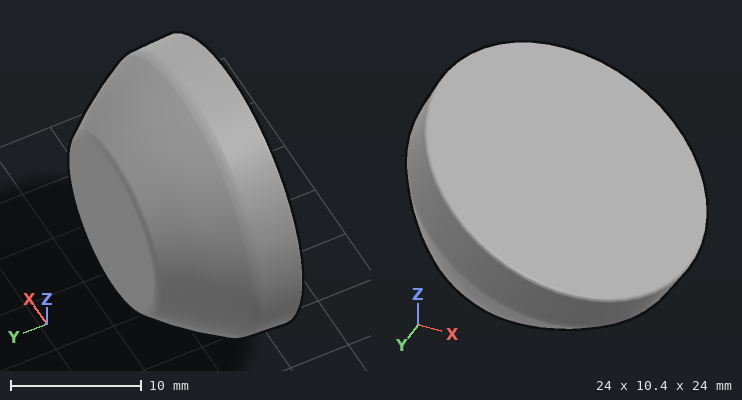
import cadquery as cq

height = 10.4
max_radius = 11.98
base_radius = 11.72
top_radius = 6.93

base_edge_middle = (0.12, 11.91)
base_edge_end = (0.3, max_radius)

rim_end = (3.57, 11.82)
shoulder_middle = (3.98, 11.75)
shoulder_end = (4.36, 11.6)

dome_middle = (7.35, 9.78)
dome_end = (10.07, 7.67)

crown_middle = (10.3, 7.35)

profile = (
    cq.Workplane("YZ")
    .lineTo(0, base_radius)
    .threePointArc(base_edge_middle, base_edge_end)
    .lineTo(*rim_end)
    .threePointArc(shoulder_middle, shoulder_end)
    .threePointArc(dome_middle, dome_end)
    .threePointArc(crown_middle, (height, top_radius))
    .lineTo(height, 0)
    .close()
)

result = profile.revolve(360, (0, 0, 0), (1, 0, 0))